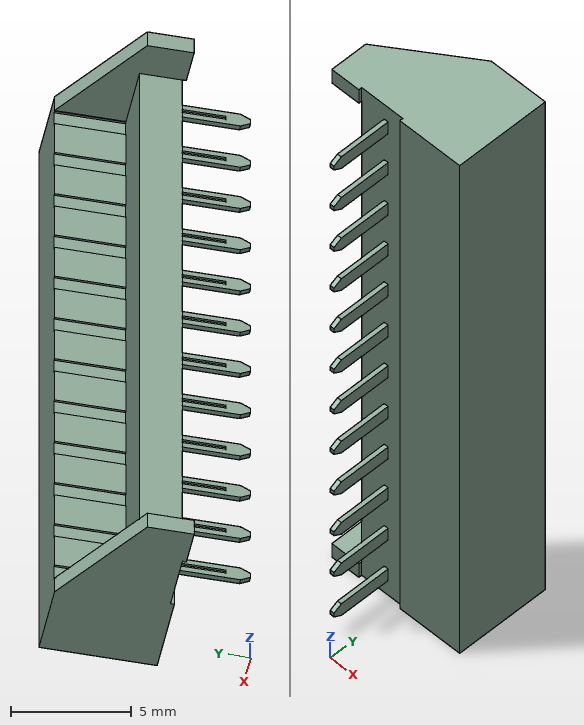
import cadquery as cq

housing_length = 30.48
housing_width = 7.5
housing_depth = 5.0
base_height = 1.98
flange_thickness = 0.85
base_start = 1.6
upper_start = 4.33

relief_end = 4.0
relief_depth = 0.168

pin_count = 12
pin_pitch = 2.54
pin_center_x = 3.02
pin_thickness = 0.23
pin_width = 0.73
pin_length = 3.0
pin_taper = 0.43
pin_tip_width = 0.25
pin_embed = 0.6

pin_groove_width = 0.18
pin_groove_depth = 0.1
pin_groove_length = 1.95

channel_width = 0.75
channel_depth = 0.1


def box(x0, x1, y0, y1, z0, z1):
    """Axis-aligned block between two corners."""
    return cq.Workplane("XY").box(x1 - x0, y1 - y0, z1 - z0, centered=False).translate((x0, y0, z0))


def make_housing():
    """Sloped end profile, cut back between the flanges and relieved along the board side."""
    half_length = housing_length / 2
    inner_half = half_length - flange_thickness
    housing = (
        cq.Workplane("XY", origin=(0, 0, -half_length))
        .moveTo(0, 0)
        .lineTo(housing_width, 0)
        .lineTo(housing_width, housing_depth)
        .lineTo(upper_start, housing_depth)
        .lineTo(0, base_height)
        .close()
        .extrude(housing_length)
    )
    housing = housing.cut(box(0, base_start, 0, housing_depth, -inner_half, inner_half))
    housing = housing.cut(box(0, upper_start, base_height, housing_depth, -inner_half, inner_half))
    return housing.cut(box(base_start, relief_end, 0, relief_depth, -half_length, half_length))


def make_pin(z):
    """Flat contact with a tapered tip and a pressed groove."""
    half_width = pin_width / 2
    half_tip = pin_tip_width / 2
    pin_face = pin_center_x - pin_thickness / 2
    shoulder = -pin_length + pin_taper
    blade = (
        cq.Workplane("YZ", origin=(pin_face, 0, z))
        .polyline([
            (pin_embed, -half_width),
            (shoulder, -half_width),
            (-pin_length, -half_tip),
            (-pin_length, half_tip),
            (shoulder, half_width),
            (pin_embed, half_width),
        ])
        .close()
        .extrude(pin_thickness)
    )
    half_groove = pin_groove_width / 2
    groove = box(pin_face, pin_face + pin_groove_depth, -pin_groove_length, relief_depth,
                 z - half_groove, z + half_groove)
    return blade.cut(groove)


def make_channel(z):
    """Shallow channel across the upper wall."""
    half_width = channel_width / 2
    return box(upper_start, upper_start + channel_depth, base_height, housing_depth,
               z - half_width, z + half_width)


result = make_housing()
for index in range(pin_count):
    pin_z = (index - (pin_count - 1) / 2) * pin_pitch
    result = result.cut(make_channel(pin_z)).union(make_pin(pin_z))